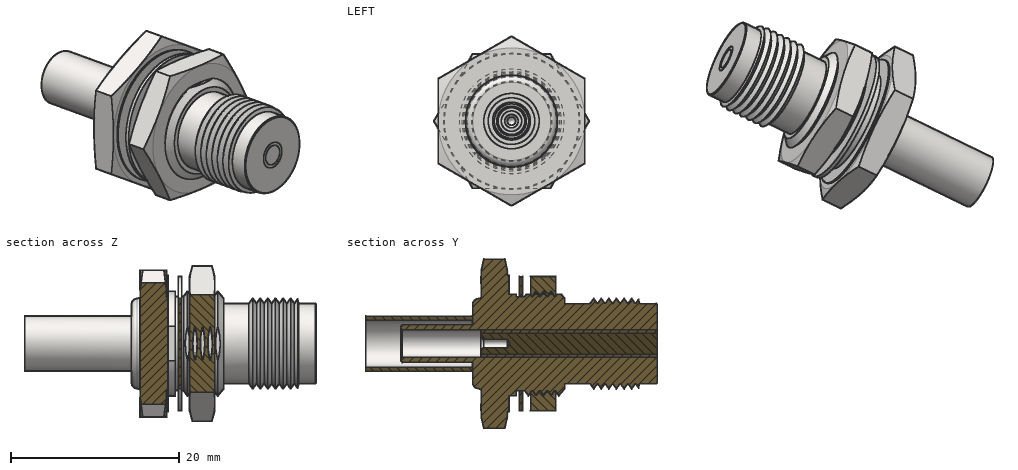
import cadquery as cq
import math


overall_length = 34.7
flange_start = 12.7
hex_start = 13.7
hex_end = 16.9
seat_end = 17.07
pilot_end = 17.95
washer_start = 18.25
washer_end = 18.7
mount_thread_start = 18.9
nut_start = 19.6
nut_end = 22.62
mount_thread_end = 23.7
front_thread_start = 26.7
front_thread_end = 32.62

flange_face_radius = 4.65
flange_round_length = 0.65
flange_round_radius = 5.38
flange_radius = 5.48
hex_across_flats = 17.5
hex_chamfer_length = 0.35
seat_radius = 8.12
neck_radius = 5.62
nose_radius = 4.8
nose_chamfer = 0.1

thread_pitch = 0.9
thread_depth = 0.62
mount_thread_radius = neck_radius + thread_depth
mount_thread_ridges = 5
mount_end_radius = 5.38
front_thread_full_ridges = 6
last_ridge_height = 0.52
pilot_radius = mount_thread_radius
flat_height = 5.9

nut_across_flats = 16.03
nut_chamfer_length = 0.35
washer_radius = nut_across_flats / 2

ferrule_radius = 3.3
ferrule_bore_radius = 2.78
post_start = 4.15
post_radius = 2.25
post_tip_radius = 2.05
post_chamfer_length = 0.2
bore_radius = 1.6
bore_mouth_radius = 1.77

insulator_start = hex_start
contact_radius = 1.2
cup_mouth_radius = 0.8
cup_radius = 0.5
cup_depth = 3.12
cup_point_length = cup_radius / math.sqrt(3)


def revolve_profile(points):
    """Turn a closed (x, radius) outline about the X axis."""
    return cq.Workplane("XY").polyline(points).close().revolve(360, (0, 0, 0), (1, 0, 0))


def tube(start, end, outer_radius, inner_radius):
    """Plain ring between two X stations."""
    return (
        cq.Workplane("YZ", origin=(start, 0, 0))
        .circle(outer_radius)
        .circle(inner_radius)
        .extrude(end - start)
    )


def ridge_points(start, count, root_radius):
    """Root and crest points of V-shaped ring ridges, ending on a root."""
    points = [(start, root_radius)]
    for ridge in range(count):
        ridge_start = start + ridge * thread_pitch
        points.append((ridge_start + thread_pitch / 2, root_radius + thread_depth))
        points.append((ridge_start + thread_pitch, root_radius))
    return points


def chamfered_hex(start, end, across_flats, chamfer_length, corner_angle):
    """Hexagonal prism whose corners are coned off down to the flats at both ends."""
    flat_radius = across_flats / 2
    corner_radius = flat_radius / math.cos(math.pi / 6)
    prism = (
        cq.Workplane("YZ", origin=(start, 0, 0))
        .polygon(6, 2 * corner_radius)
        .extrude(end - start)
        .rotate((0, 0, 0), (1, 0, 0), corner_angle)
    )
    envelope = revolve_profile([
        (start, 0),
        (start, flat_radius),
        (start + chamfer_length, corner_radius),
        (end - chamfer_length, corner_radius),
        (end, flat_radius),
        (end, 0),
    ])
    return prism.intersect(envelope)


def mount_thread():
    """Mounting thread; its last ridge runs out in a long chamfer."""
    points = ridge_points(mount_thread_start, mount_thread_ridges, neck_radius)
    points[-1] = (mount_thread_end, mount_end_radius)
    return revolve_profile([(mount_thread_start, 0), *points, (mount_thread_end, 0)])


def front_thread():
    """Coupling thread; its last ridge is lower and cut short."""
    points = ridge_points(front_thread_start, front_thread_full_ridges, nose_radius)
    last_root = points[-1][0]
    last_crest = last_root + last_ridge_height * thread_pitch / 2 / thread_depth
    points += [(last_crest, nose_radius + last_ridge_height), (front_thread_end, nose_radius)]
    return revolve_profile([(front_thread_start, 0), *points, (front_thread_end, 0)])


def make_shell():
    flange = (
        cq.Workplane("XY")
        .moveTo(flange_start, 0)
        .lineTo(flange_start, flange_face_radius)
        .tangentArcPoint((flange_start + flange_round_length, flange_round_radius), relative=False)
        .lineTo(hex_start, flange_radius)
        .lineTo(hex_start, 0)
        .close()
        .revolve(360, (0, 0, 0), (1, 0, 0))
    )
    hexagon = chamfered_hex(hex_start, hex_end, hex_across_flats, hex_chamfer_length, 90)

    shank = revolve_profile([
        (hex_end, 0),
        (hex_end, seat_radius),
        (seat_end, seat_radius),
        (seat_end, pilot_radius),
        (pilot_end, pilot_radius),
        (pilot_end, neck_radius),
        (mount_thread_start, neck_radius),
        (mount_thread_start, 0),
    ]).union(mount_thread())
    flat_cutter = cq.Workplane("XY").box(
        mount_thread_end - seat_end, 2 * seat_radius, seat_radius, centered=(False, True, False)
    ).translate((seat_end, 0, flat_height))
    shank = shank.cut(flat_cutter)

    nose = (
        cq.Workplane("YZ", origin=(mount_thread_end, 0, 0))
        .circle(nose_radius)
        .extrude(overall_length - mount_thread_end)
        .faces(">X").edges().chamfer(nose_chamfer)
        .union(front_thread())
    )

    post = revolve_profile([
        (post_start, 0),
        (post_start, post_tip_radius),
        (post_start + post_chamfer_length, post_radius),
        (flange_start, post_radius),
        (flange_start, 0),
    ])
    bore = revolve_profile([
        (post_start, 0),
        (post_start, bore_mouth_radius),
        (post_start + post_chamfer_length, bore_radius),
        (overall_length, bore_radius),
        (overall_length, 0),
    ])
    return flange.union(hexagon).union(shank).union(nose).union(post).cut(bore)


def make_ferrule():
    return tube(0, flange_start, ferrule_radius, ferrule_bore_radius)


def make_washer():
    return tube(washer_start, washer_end, washer_radius, neck_radius)


def make_nut():
    blank = chamfered_hex(nut_start, nut_end, nut_across_flats, nut_chamfer_length, 0)
    return blank.cut(mount_thread())


def make_insulator():
    return tube(insulator_start, overall_length, bore_radius, contact_radius)


def make_contact():
    """Centre contact with a countersunk, drilled wire cup."""
    countersink_length = cup_mouth_radius - cup_radius
    cup_end = insulator_start + cup_depth
    return revolve_profile([
        (cup_end + cup_point_length, 0),
        (cup_end, cup_radius),
        (insulator_start + countersink_length, cup_radius),
        (insulator_start, cup_mouth_radius),
        (insulator_start, contact_radius),
        (overall_length, contact_radius),
        (overall_length, 0),
    ])


shell = make_shell()
ferrule = make_ferrule()
washer = make_washer()
nut = make_nut()
insulator = make_insulator()
contact = make_contact()

result = cq.Compound.makeCompound([
    shell.val(),
    ferrule.val(),
    washer.val(),
    nut.val(),
    insulator.val(),
    contact.val(),
])